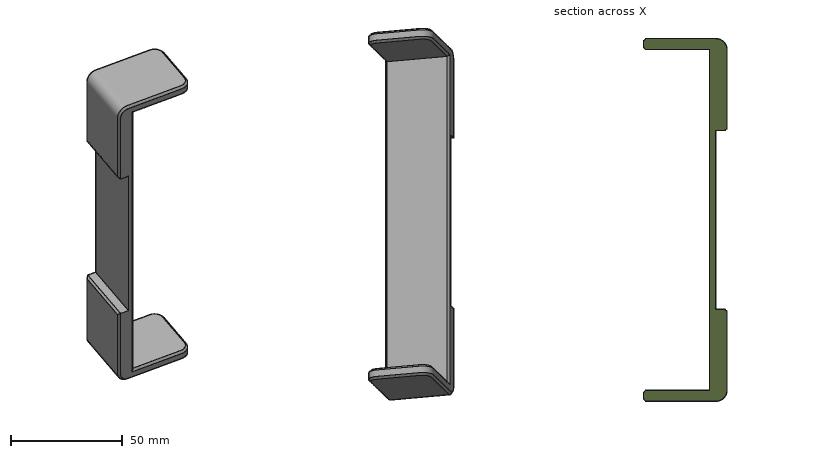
import cadquery as cq

width = 30.0
depth = 37.5
height = 162.5

arm_thickness = 5.0
web_thickness = 3.0
pad_thickness = 5.0
window_height = 80.0

bend_radius = 5.0
tip_corner_radius = 5.0
edge_chamfer = 1.0

tolerance = 0.02

front_y = -depth / 2
tip_y = depth / 2
web_front_y = front_y + pad_thickness
web_back_y = web_front_y + web_thickness
top_z = height / 2
arm_inner_z = top_z - arm_thickness
pad_end_z = window_height / 2


def bracket_blank():
    """C-shaped profile with two thicker pads, extruded across the width."""
    upper_outline = [
        (web_front_y, pad_end_z),
        (front_y, pad_end_z),
        (front_y, top_z),
        (tip_y, top_z),
        (tip_y, arm_inner_z),
        (web_back_y, arm_inner_z),
    ]
    lower_outline = [(y, -z) for y, z in reversed(upper_outline)]
    outline = upper_outline + lower_outline
    return cq.Workplane("YZ").polyline(outline).close().extrude(width / 2, both=True)


def round_corners(body):
    """Round the two outer bends and the four free corners of the arms."""
    body = body.edges("|X").edges("<Y").edges("<Z or >Z").fillet(bend_radius)
    return body.edges("|Z").edges(">Y").fillet(tip_corner_radius)


def near(value, target):
    return abs(value - target) < tolerance


def is_rim(edge):
    """Tell the borders of the outer and inner faces from the edges that stay sharp."""
    center = edge.Center()
    on_side = near(abs(center.x), width / 2)
    on_arm_tip = center.y > tip_y - tip_corner_radius
    on_web_front = near(center.y, web_front_y)
    on_pad_end = near(abs(center.z), pad_end_z)
    on_pad_edge = on_pad_end and near(center.y, front_y)
    across_arm_thickness = near(abs(center.z), top_z - arm_thickness / 2)
    if on_pad_edge:
        return True
    if on_web_front or on_pad_end or across_arm_thickness:
        return False
    return on_side or on_arm_tip


def chamfer_rims(body):
    """Bevel the rims of the outer and inner faces, leaving the web front sharp."""
    rims = [edge for edge in body.edges().vals() if is_rim(edge)]
    return body.newObject(rims).chamfer(edge_chamfer)


result = chamfer_rims(round_corners(bracket_blank()))